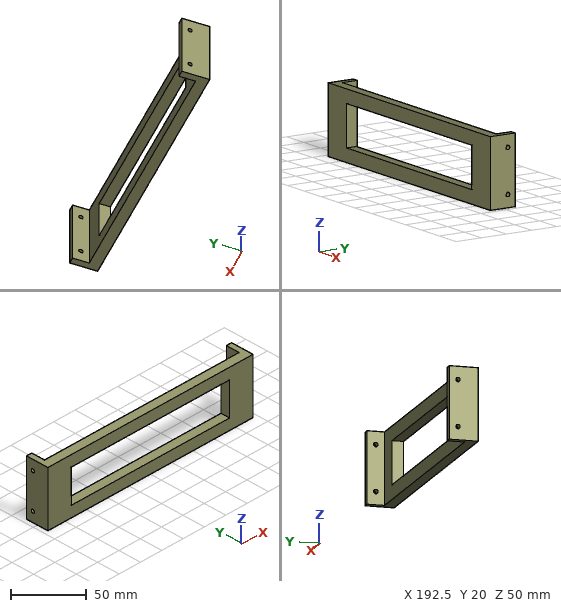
import cadquery as cq

length = 192.5
depth = 20.0
height = 50.0

plate_thickness = 8.0
flange_thickness = 5.0

window_length = 148.5
window_height = 30.0

hole_diameter = 2.9
hole_spacing = 32.0
hole_from_back = 6.0


def block(size_x, size_y, size_z, front_y):
    """Box centred on X and Z, with its front face at front_y."""
    return cq.Workplane("XY").box(size_x, size_y, size_z).translate((0, front_y + size_y / 2, 0))


bracket = block(length, depth, height, 0)
inner_length = length - 2 * flange_thickness
inner_space = block(inner_length, depth - plate_thickness, height, plate_thickness)
window = block(window_length, plate_thickness, window_height, 0)
result = bracket.cut(inner_space).cut(window)

for hole_z in (-hole_spacing / 2, hole_spacing / 2):
    drill = (
        cq.Workplane("YZ", origin=(-length / 2, 0, 0))
        .center(depth - hole_from_back, hole_z)
        .circle(hole_diameter / 2)
        .extrude(length)
    )
    result = result.cut(drill)